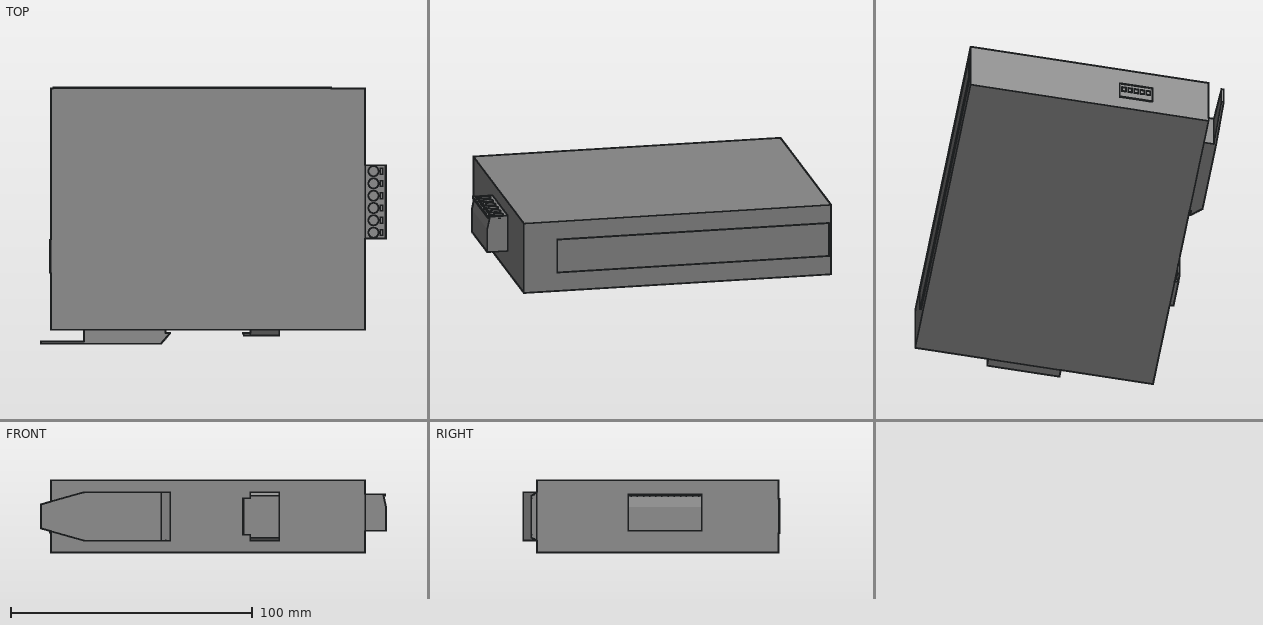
import cadquery as cq

housing_length = 130.0
housing_depth = 100.0
housing_height = 30.0
mid_height = housing_height / 2

foot_overhang = 4.1
foot_depth = 5.7
overall_length = 142.83
overall_depth = 106.2

foot_width = 20.0
foot_tip_width = 10.0
foot_plate_thickness = 1.0
foot_block_start = 13.7
foot_block_end = 47.5
foot_lip_tip = 49.5
foot_lip_end = 45.6
rail_gap = 1.2

latch_start = 82.6
latch_end = 94.6
latch_depth = 2.3
latch_width = 20.0
latch_top_slope = 1.5
latch_bottom_slope = 1.2
tongue_tip = 79.4
tongue_bevel = 0.5
tongue_width = 15.2

bank_thickness = 0.4
bank_start = 23.6
bank_length = 13.8
bank_bottom = 8.2
bank_height = 10.3
switch_count = 5
switch_pitch = 2.54
switch_width = 1.65
switch_height = 3.0
switch_mid_height = 14.25
switch_recess = 0.2

label_start = 1.0
label_length = 115.0
label_bottom = 8.1
label_height = 14.2
label_thickness = overall_depth - housing_depth - foot_depth

terminal_count = 6
terminal_pitch = 5.08
terminal_start = 37.76
terminal_bottom = 9.0
terminal_top = 24.2
terminal_reach = overall_length - foot_overhang - housing_length
terminal_lip_reach = 8.4
terminal_lip_thickness = 0.6
terminal_groove_reach = 7.7
terminal_slope_bottom = 18.8
screw_hole_diameter = 4.2
screw_hole_offset = 3.5
screw_hole_depth = 1.0
test_slot_offset = 6.8
test_slot_size = (1.0, 2.4)
test_slot_depth = 1.0


def box_at(corner, size):
    """Box with its lowest corner at the given point."""
    return cq.Workplane("XY").box(*size, centered=False).translate(corner)


def upright_prism(outline, width):
    """Prism of an XY outline, centred on the housing's mid height."""
    base = cq.Workplane("XY").workplane(offset=mid_height - width / 2)
    return base.polyline(outline).close().extrude(width)


def rail_foot():
    """Hooked block whose front plate runs on past the housing as a tapered tab."""
    plate_back = foot_plate_thickness - foot_depth
    profile = [
        (-foot_overhang, -foot_depth),
        (foot_lip_end, -foot_depth),
        (foot_lip_tip, -rail_gap),
        (foot_block_end, -rail_gap),
        (foot_block_end, 0),
        (foot_block_start, 0),
        (foot_block_start, plate_back),
        (-foot_overhang, plate_back),
    ]
    low = mid_height - foot_width / 2
    high = mid_height + foot_width / 2
    tip_low = mid_height - foot_tip_width / 2
    tip_high = mid_height + foot_tip_width / 2
    face = [
        (-foot_overhang, tip_low),
        (foot_block_start, low),
        (foot_lip_tip, low),
        (foot_lip_tip, high),
        (foot_block_start, high),
        (-foot_overhang, tip_high),
    ]
    taper = cq.Workplane("XZ").polyline(face).close().extrude(foot_depth)
    return upright_prism(profile, foot_width).intersect(taper)


def rail_latch():
    """Block with sloped top and bottom, and a bevelled tongue facing the foot."""
    low = mid_height - latch_width / 2
    high = mid_height + latch_width / 2
    side = [
        (0, low),
        (-latch_depth, low + latch_bottom_slope),
        (-latch_depth, high - latch_top_slope),
        (0, high),
    ]
    start_plane = cq.Workplane("YZ").workplane(offset=latch_start)
    block = start_plane.polyline(side).close().extrude(latch_end - latch_start)
    tongue = [
        (tongue_tip, -rail_gap),
        (latch_end, -rail_gap),
        (latch_end, -latch_depth),
        (tongue_tip + tongue_bevel, -latch_depth),
    ]
    return block.union(upright_prism(tongue, tongue_width))


def switch_bank():
    """Thin plate with a row of shallow switch recesses."""
    bank = box_at((-bank_thickness, bank_start, bank_bottom), (bank_thickness, bank_length, bank_height))
    bank_middle = bank_start + bank_length / 2
    for index in range(switch_count):
        middle = bank_middle + (index - (switch_count - 1) / 2) * switch_pitch
        corner = (-bank_thickness, middle - switch_width / 2, switch_mid_height - switch_height / 2)
        bank = bank.cut(box_at(corner, (switch_recess, switch_width, switch_height)))
    return bank


def label_plate():
    """Thin plate on the back face."""
    return box_at(
        (label_start, housing_depth, label_bottom),
        (label_length, label_thickness, label_height),
    )


def terminal_block():
    """Block with a lipped, sloping front and a screw hole and slot per terminal."""
    lip_bottom = terminal_top - terminal_lip_thickness
    profile = [
        (housing_length, terminal_bottom),
        (housing_length + terminal_reach, terminal_bottom),
        (housing_length + terminal_reach, terminal_slope_bottom),
        (housing_length + terminal_groove_reach, lip_bottom),
        (housing_length + terminal_lip_reach, lip_bottom),
        (housing_length + terminal_lip_reach, terminal_top),
        (housing_length, terminal_top),
    ]
    start_plane = cq.Workplane("XZ", origin=(0, terminal_start, 0))
    block = start_plane.polyline(profile).close().extrude(-terminal_count * terminal_pitch)
    top = cq.Workplane("XY").workplane(offset=terminal_top)
    for index in range(terminal_count):
        middle = terminal_start + (index + 0.5) * terminal_pitch
        screw_hole = top.center(housing_length + screw_hole_offset, middle).circle(screw_hole_diameter / 2)
        block = block.cut(screw_hole.extrude(-screw_hole_depth))
        test_slot = top.center(housing_length + test_slot_offset, middle).rect(*test_slot_size)
        block = block.cut(test_slot.extrude(-test_slot_depth))
    return block


result = box_at((0, 0, 0), (housing_length, housing_depth, housing_height))
for feature in (rail_foot(), rail_latch(), switch_bank(), label_plate(), terminal_block()):
    result = result.union(feature)